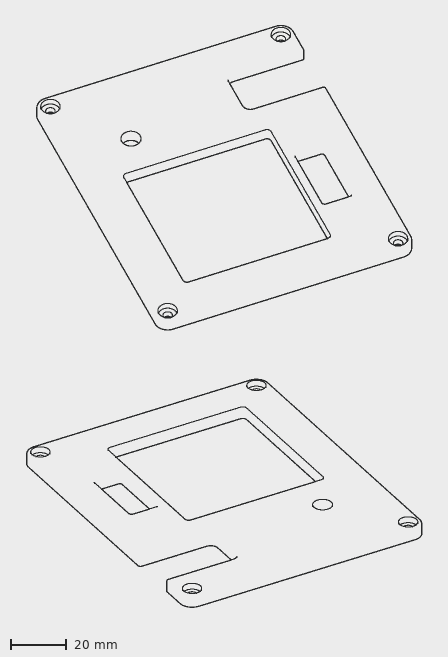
import cadquery as cq

length = 118.0
width = 100.0
thickness = 5.0
corner_radius = 5.0
edge_rounding = 1.0

screw_diameter = 3.4
screw_head_diameter = 7.0
screw_head_depth = 2.5

slot_width = 18.6
slot_depth = 30.9
slot_center_x = -34.3
slot_corner_radius = 3.0

window_length = 26.5
window_width = 11.5
window_center = (14.5, 32.6)
window_corner_radius = 1.0

opening_side = 57.5
opening_center = (15.3, -5.4)
opening_corner_radius = 1.5

round_hole_diameter = 7.2
round_hole_center = (-28.3, -24.4)


def rounded_prism(size_x, size_y, radius, center):
    """Plate-thick block with rounded vertical edges, standing on Z = 0."""
    block = cq.Workplane("XY").center(*center).rect(size_x, size_y).extrude(thickness)
    return block.edges("|Z").fillet(radius)


def open_slot():
    """Slot cutter: rounded inner corners, running out past the +Y edge."""
    overrun = 2 * slot_corner_radius
    size_y = slot_depth + overrun
    center_y = width / 2 - slot_depth + size_y / 2
    return rounded_prism(slot_width, size_y, slot_corner_radius, (slot_center_x, center_y))


plate = rounded_prism(length, width, corner_radius, (0, 0))
plate = plate.cut(open_slot())
plate = plate.cut(rounded_prism(window_length, window_width, window_corner_radius, window_center))
mouth_corners = cq.selectors.BoxSelector(
    (slot_center_x - slot_width, width / 2 - edge_rounding, 0),
    (slot_center_x + slot_width, width / 2 + edge_rounding, thickness),
)
top_rim = plate.faces(">Z").edges()
plate = plate.edges("|Z").edges(mouth_corners).add(top_rim).fillet(edge_rounding)

plate = plate.cut(rounded_prism(opening_side, opening_side, opening_corner_radius, opening_center))
round_hole = cq.Workplane("XY").center(*round_hole_center).circle(round_hole_diameter / 2).extrude(thickness)
plate = plate.cut(round_hole)

screw_spacing_x = length - 2 * corner_radius
screw_spacing_y = width - 2 * corner_radius
result = (
    plate.faces(">Z")
    .workplane(origin=(0, 0, thickness))
    .rect(screw_spacing_x, screw_spacing_y, forConstruction=True)
    .vertices()
    .cboreHole(screw_diameter, screw_head_diameter, screw_head_depth)
)